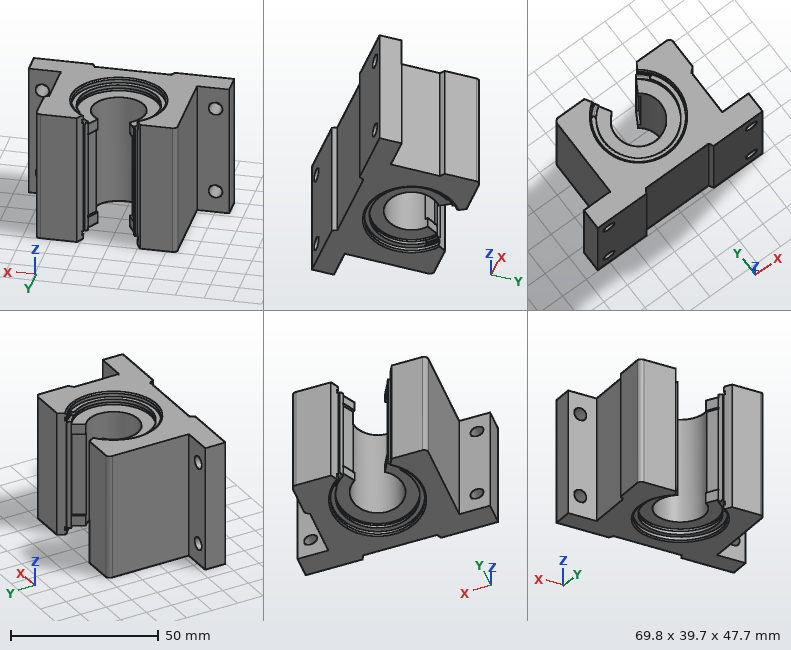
import cadquery as cq
import math


BLOCK_LENGTH = 47.65
BASE_WIDTH = 69.85
TOTAL_HEIGHT = 39.7
AXIS_HEIGHT = 23.75
BASE_THICKNESS = 7.95
BODY_HALF_WIDTH = 23.75
CORNER_RADIUS = 1.6
BASE_Y = -AXIS_HEIGHT
BODY_TOP_Y = TOTAL_HEIGHT - AXIS_HEIGHT
BASE_TOP_Y = BASE_Y + BASE_THICKNESS

LEDGE_WIDTH = 1.6
LEDGE_BOTTOM_Y = 3.15
LEDGE_SLOPE_HEIGHT = 1.25

CHANNEL_HALF_WIDTH = 13.35
CHANNEL_DEPTH = 1.7
CHANNEL_FLARE = 0.9

HOLE_DIAMETER = 4.75
HOLE_SPACING_X = 60.35
HOLE_SPACING_Z = 31.8

OPENING_ANGLE = 60.0
HOUSING_OPENING_OFFSET = 1.6
BEARING_OPENING_OFFSET = 0.9
RETAINER_OPENING_OFFSET = 1.8

SLEEVE_LENGTH = 41.6
SLEEVE_RADIUS = 16.1
SLEEVE_INNER_RADIUS = 14.4
SLEEVE_EDGE_RADIUS = 0.85
SLEEVE_TOP_Z = SLEEVE_LENGTH / 2

SHAFT_BORE_RADIUS = 9.5
RETAINER_RECESS = 0.9
RETAINER_LENGTH = SLEEVE_LENGTH - 2 * RETAINER_RECESS
RETAINER_COLLAR_LENGTH = 4.0

BORE_CHAMFER_WIDTH = 0.55
BORE_CHAMFER_DEPTH = 0.5
RING_THICKNESS = 1.25
RING_OUTER_RADIUS = 16.6
RING_INNER_RADIUS = SLEEVE_INNER_RADIUS
RING_END_ANGLE = 54.5
RING_END_RADIUS = (SLEEVE_RADIUS - RING_INNER_RADIUS) / 2
RING_CENTER_Z = SLEEVE_TOP_Z + RING_THICKNESS / 2


def disc(radius, length, center_z=0.0):
    """Cylinder on the bearing axis, centred at center_z."""
    return cq.Workplane("XY", origin=(0, 0, center_z)).circle(radius).extrude(length / 2, both=True)


def tube(outer_radius, inner_radius, length, center_z=0.0):
    """Hollow cylinder on the bearing axis, centred at center_z."""
    return disc(outer_radius, length, center_z).cut(disc(inner_radius, length, center_z))


def opening(side_offset, length):
    """Wedge towards +Y whose sides stand side_offset away from the axis."""
    half_angle = math.radians(OPENING_ANGLE / 2)
    apex_y = -side_offset / math.sin(half_angle)
    top_y = TOTAL_HEIGHT
    top_half_width = (top_y - apex_y) * math.tan(half_angle)
    axis_half_width = side_offset / math.cos(half_angle)
    outline = [
        (-axis_half_width, 0),
        (axis_half_width, 0),
        (top_half_width, top_y),
        (-top_half_width, top_y),
    ]
    return cq.Workplane("XY").polyline(outline).close().extrude(length / 2, both=True)


def housing_block():
    """Base, body and side ledge as one profile, with the upper corners rounded."""
    half_base = BASE_WIDTH / 2
    ledge_x = BODY_HALF_WIDTH + LEDGE_WIDTH
    outline = [
        (-half_base, BASE_Y),
        (-CHANNEL_HALF_WIDTH - CHANNEL_FLARE, BASE_Y),
        (-CHANNEL_HALF_WIDTH, BASE_Y + CHANNEL_DEPTH),
        (CHANNEL_HALF_WIDTH, BASE_Y + CHANNEL_DEPTH),
        (CHANNEL_HALF_WIDTH + CHANNEL_FLARE, BASE_Y),
        (half_base, BASE_Y),
        (half_base, BASE_TOP_Y),
        (BODY_HALF_WIDTH, BASE_TOP_Y),
        (BODY_HALF_WIDTH, LEDGE_BOTTOM_Y - LEDGE_SLOPE_HEIGHT),
        (ledge_x, LEDGE_BOTTOM_Y),
        (ledge_x, BODY_TOP_Y),
        (-BODY_HALF_WIDTH, BODY_TOP_Y),
        (-BODY_HALF_WIDTH, BASE_TOP_Y),
        (-half_base, BASE_TOP_Y),
    ]
    block = cq.Workplane("XY").polyline(outline).close().extrude(BLOCK_LENGTH / 2, both=True)
    return block.faces(">Y").edges("|Z").fillet(CORNER_RADIUS)


def housing_bore():
    """Revolved bore with a chamfer at each mouth and a groove for each ring."""
    end_z = BLOCK_LENGTH / 2
    bore = disc(SLEEVE_RADIUS, BLOCK_LENGTH)
    half_mouth = [
        (0, end_z - BORE_CHAMFER_DEPTH),
        (SLEEVE_RADIUS, end_z - BORE_CHAMFER_DEPTH),
        (SLEEVE_RADIUS + BORE_CHAMFER_WIDTH, end_z),
        (0, end_z),
    ]
    mouth = cq.Workplane("XZ").polyline(half_mouth).close().revolve(360, (0, 0), (0, 1))
    bore = bore.union(mouth).union(mouth.mirror("XY"))
    for side in (-1, 1):
        bore = bore.union(disc(RING_OUTER_RADIUS, RING_THICKNESS, side * RING_CENTER_Z))
    return bore


def mounting_holes():
    """Four holes through the base along Y."""
    return (
        cq.Workplane("XZ", origin=(0, BASE_TOP_Y, 0))
        .rarray(HOLE_SPACING_X, HOLE_SPACING_Z, 2, 2)
        .circle(HOLE_DIAMETER / 2)
        .extrude(BASE_THICKNESS)
    )


def make_housing():
    return (
        housing_block()
        .cut(housing_bore())
        .cut(opening(HOUSING_OPENING_OFFSET, BLOCK_LENGTH))
        .cut(mounting_holes())
    )


def make_sleeve():
    sleeve = disc(SLEEVE_RADIUS, SLEEVE_LENGTH).edges("%CIRCLE").fillet(SLEEVE_EDGE_RADIUS)
    sleeve = sleeve.cut(disc(SLEEVE_INNER_RADIUS, SLEEVE_LENGTH))
    return sleeve.cut(opening(BEARING_OPENING_OFFSET, SLEEVE_LENGTH))


def make_retainer():
    """Liner whose opening is wider between the two end collars."""
    middle_length = RETAINER_LENGTH - 2 * RETAINER_COLLAR_LENGTH
    return (
        tube(SLEEVE_INNER_RADIUS, SHAFT_BORE_RADIUS, RETAINER_LENGTH)
        .cut(opening(BEARING_OPENING_OFFSET, RETAINER_LENGTH))
        .cut(opening(RETAINER_OPENING_OFFSET, middle_length))
    )


def polar_point(radius, angle_from_y):
    """Point at a radius and an angle in degrees from +Y towards +X."""
    angle = math.radians(angle_from_y)
    return radius * math.sin(angle), radius * math.cos(angle)


def make_ring(center_z):
    """C-shaped ring with round inner tips, seated in its groove."""
    gap_reach = 2 * RING_OUTER_RADIUS
    gap_outline = [
        (0, 0),
        polar_point(gap_reach, -RING_END_ANGLE),
        (0, gap_reach),
        polar_point(gap_reach, RING_END_ANGLE),
    ]
    gap = (
        cq.Workplane("XY", origin=(0, 0, center_z))
        .polyline(gap_outline)
        .close()
        .extrude(RING_THICKNESS / 2, both=True)
    )
    ring = tube(RING_OUTER_RADIUS, RING_INNER_RADIUS, RING_THICKNESS, center_z).cut(gap)
    tip_center_radius = RING_INNER_RADIUS + RING_END_RADIUS
    tips = (
        cq.Workplane("XY", origin=(0, 0, center_z))
        .pushPoints([polar_point(tip_center_radius, side * RING_END_ANGLE) for side in (-1, 1)])
        .circle(RING_END_RADIUS)
        .extrude(RING_THICKNESS / 2, both=True)
    )
    return ring.union(tips)


housing = make_housing()
sleeve = make_sleeve()
retainer = make_retainer()
rings = [make_ring(side * RING_CENTER_Z) for side in (-1, 1)]

result = cq.Compound.makeCompound(
    [housing.val(), sleeve.val(), retainer.val(), *[ring.val() for ring in rings]]
)